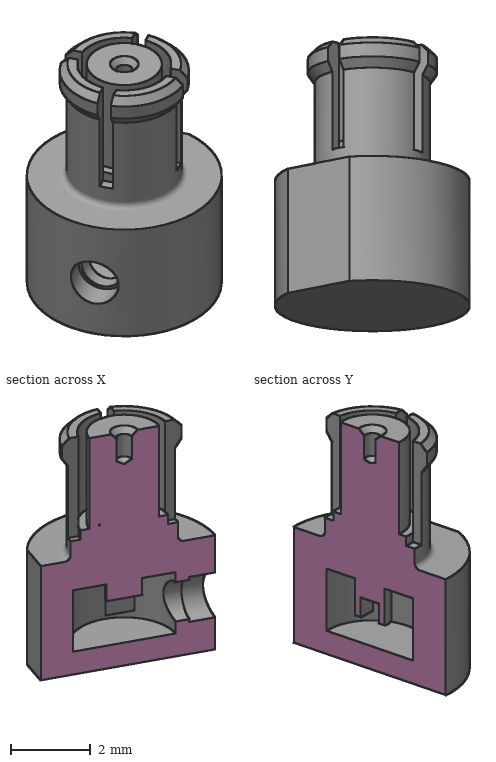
import cadquery as cq

total_height = 6.6
body_radius = 2.45
body_height = 3.235
flat_offset = 2.25

neck_radius = 1.45
neck_fillet = 0.16
head_radius = 1.625
head_top_radius = 1.425
head_chamfer_height = 0.19
head_band_height = 0.36
head_underside_height = 0.245

gap_radius = 1.18
gap_floor = 4.045
slot_width = 0.35
slot_floor = 3.79
core_radius = 0.945
core_top = total_height

socket_radius = 0.2
socket_mouth_radius = 0.355
socket_mouth_depth = 0.16
socket_depth = 0.79
socket_tip_depth = 0.11

port_height = 1.545
port_radius = 0.63
port_inner_radius = 0.55
port_step = 1.755
chamber_radius = 1.38
chamber_floor = 0.66
chamber_ceiling = 2.375

terminal_radius = 0.49
terminal_bottom = 1.35
terminal_slot_width = 0.575
terminal_slot_top = 1.9


def cylinder(radius, bottom, top):
    """Vertical cylinder on the part axis."""
    return cq.Workplane("XY").workplane(offset=bottom).circle(radius).extrude(top - bottom)


def make_body():
    """Round base with one flat."""
    body = cylinder(body_radius, 0, body_height)
    beyond_flat = cq.Workplane("XY").box(
        2 * body_radius, body_radius, body_height, centered=(True, False, False)
    )
    return body.cut(beyond_flat.translate((0, flat_offset, 0)))


def make_sleeve():
    """Solid of revolution: flared foot, straight neck and barbed head."""
    band_top = total_height - head_chamfer_height
    band_bottom = band_top - head_band_height
    neck_top = band_bottom - head_underside_height
    return (
        cq.Workplane("XZ")
        .moveTo(0, body_height)
        .lineTo(neck_radius + neck_fillet, body_height)
        .radiusArc((neck_radius, body_height + neck_fillet), neck_fillet)
        .lineTo(neck_radius, neck_top)
        .lineTo(head_radius, band_bottom)
        .lineTo(head_radius, band_top)
        .lineTo(head_top_radius, total_height)
        .lineTo(0, total_height)
        .close()
        .revolve(360, (0, 0, 0), (0, 1, 0))
    )


def make_sleeve_slots():
    """Two crossing slots that stop at the ring gap's outer wall."""
    cross = cq.Workplane("XY")
    for length_x, length_y in ((2 * body_radius, slot_width), (slot_width, 2 * body_radius)):
        slot = cq.Workplane("XY").box(
            length_x, length_y, total_height - slot_floor, centered=(True, True, False)
        )
        cross = cross.add(slot.translate((0, 0, slot_floor)))
    cross = cross.combine()
    return cross.cut(cylinder(gap_radius, slot_floor, total_height))


def make_socket():
    """Countersunk blind hole with a conical end."""
    mouth_bottom = core_top - socket_mouth_depth
    socket_bottom = core_top - socket_depth
    return (
        cq.Workplane("XZ")
        .moveTo(0, core_top)
        .lineTo(socket_mouth_radius, core_top)
        .lineTo(socket_radius, mouth_bottom)
        .lineTo(socket_radius, socket_bottom)
        .lineTo(0, socket_bottom - socket_tip_depth)
        .close()
        .revolve(360, (0, 0, 0), (0, 1, 0))
    )


def make_port():
    """Stepped round hole entering from the -Y side."""
    plane = cq.Workplane("XZ").center(0, port_height)
    inner = plane.circle(port_inner_radius).extrude(body_radius)
    outer = plane.workplane(offset=port_step).circle(port_radius).extrude(body_radius - port_step)
    return inner.union(outer)


def make_terminal():
    """Round post split by a slot along Y."""
    terminal = cylinder(terminal_radius, terminal_bottom, chamber_ceiling)
    slot = cq.Workplane("XY").box(
        terminal_slot_width,
        2 * terminal_radius,
        terminal_slot_top - terminal_bottom,
        centered=(True, True, False),
    )
    return terminal.cut(slot.translate((0, 0, terminal_bottom)))


ring_gap = cylinder(gap_radius, gap_floor, total_height).cut(
    cylinder(core_radius, gap_floor, core_top)
)
chamber = cylinder(chamber_radius, chamber_floor, chamber_ceiling)

result = (
    make_body()
    .union(make_sleeve())
    .cut(make_sleeve_slots())
    .cut(ring_gap)
    .cut(make_socket())
    .cut(make_port())
    .cut(chamber)
    .union(make_terminal())
)